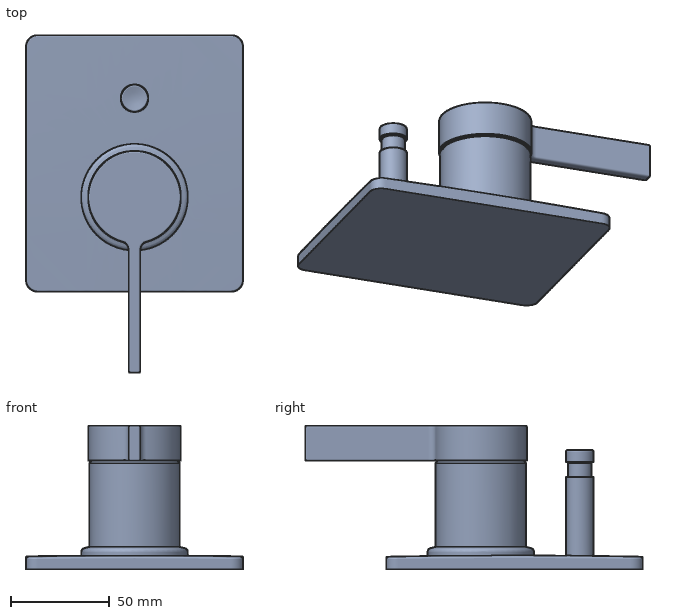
import cadquery as cq
import math

edge_break = 0.25

plate_width = 110.0
plate_length = 130.0
plate_corner_radius = 6.0
plate_top = 7.2
plate_dome_radius = 3078.0
plate_edge_fillet = 0.9
plate_back_y = 82.0
plate_center_y = plate_back_y - plate_length / 2

sleeve_radius = 46.0 / 2
sleeve_chamfer = 1.0

ring_radius = 27.0
ring_top = 11.5
ring_slope = math.radians(15)
ring_fillet = 2.0

handle_top = 72.8
handle_height = 18.0
handle_bottom = handle_top - handle_height
handle_fillet = 1.0
cap_radius = 47.0 / 2
lever_width = 6.0
lever_reach = 89.0
lever_blend_radius = 4.0

diverter_y = 50.1
post_radius = 7.0
post_top = 46.9
stem_radius = 6.0
stem_chamfer = 0.5
knob_bottom = 54.2
knob_top = 60.5
knob_fillet = 1.0
knob_dish_depth = 0.9


def cylinder(radius, bottom, top, y=0):
    return cq.Workplane("XY", origin=(0, y, bottom)).circle(radius).extrude(top - bottom)


def make_plate():
    dome_center = (0, plate_center_y, plate_top - plate_dome_radius)
    dome = cq.Workplane("XY", origin=dome_center).sphere(plate_dome_radius)
    block = (
        cq.Workplane("XY", origin=(0, plate_center_y, 0))
        .rect(plate_width, plate_length)
        .extrude(plate_top)
        .edges("|Z")
        .fillet(plate_corner_radius)
    )
    return block.intersect(dome).faces(">Z").edges().fillet(plate_edge_fillet)


def make_ring(plate):
    rim_height = ring_top - (ring_radius - sleeve_radius) * math.tan(ring_slope)
    ring = (
        cq.Workplane("XZ")
        .moveTo(sleeve_radius, 0)
        .lineTo(ring_radius, 0)
        .lineTo(ring_radius, rim_height)
        .lineTo(sleeve_radius, ring_top)
        .close()
        .revolve(360, (0, 0, 0), (0, 1, 0))
    )
    rim = cq.selectors.NearestToPointSelector((0, 0, rim_height))
    ring = ring.edges("%CIRCLE").edges(rim).fillet(ring_fillet)
    return ring.cut(plate)


def make_sleeve(plate):
    sleeve = cylinder(sleeve_radius, 0, handle_bottom).faces(">Z").chamfer(sleeve_chamfer)
    return sleeve.cut(plate)


def make_lever():
    half_width = lever_width / 2
    blend_x = half_width + lever_blend_radius
    blend_y = -math.sqrt((cap_radius + lever_blend_radius) ** 2 - blend_x**2)
    cap_share = cap_radius / (cap_radius + lever_blend_radius)
    root_x = blend_x * cap_share
    root_y = blend_y * cap_share
    blend_angle = (math.atan2(root_y - blend_y, root_x - blend_x) + math.pi) / 2
    mid_x = blend_x + lever_blend_radius * math.cos(blend_angle)
    mid_y = blend_y + lever_blend_radius * math.sin(blend_angle)
    lever = (
        cq.Workplane("XY", origin=(0, 0, handle_bottom))
        .moveTo(root_x, root_y)
        .threePointArc((mid_x, mid_y), (half_width, blend_y))
        .lineTo(half_width, -lever_reach)
        .lineTo(-half_width, -lever_reach)
        .lineTo(-half_width, blend_y)
        .threePointArc((-mid_x, mid_y), (-root_x, root_y))
        .close()
        .extrude(handle_height)
    )
    lever = lever.edges("|Z and <Y").fillet(handle_fillet)
    return lever.faces("<Z").edges("not >Y").fillet(handle_fillet)


def make_handle():
    cap = cylinder(cap_radius, handle_bottom, handle_top).faces("<Z").chamfer(edge_break)
    handle = cap.union(make_lever())
    return handle.faces(">Z").edges().fillet(handle_fillet)


def make_post(plate):
    post = cylinder(post_radius, 0, post_top, diverter_y).faces(">Z").chamfer(edge_break)
    return post.cut(plate)


def make_stem():
    stem = cylinder(stem_radius, post_top, knob_bottom, diverter_y)
    return stem.faces(">Z").chamfer(stem_chamfer)


def make_knob():
    knob = cylinder(post_radius, knob_bottom, knob_top, diverter_y)
    knob = knob.faces(">Z").edges().fillet(knob_fillet)
    knob = knob.faces("<Z").chamfer(edge_break)
    dish_rim = post_radius - knob_fillet
    dish_radius = (dish_rim**2 + knob_dish_depth**2) / (2 * knob_dish_depth)
    dish_center = (0, diverter_y, knob_top - knob_dish_depth + dish_radius)
    return knob.cut(cq.Workplane("XY", origin=dish_center).sphere(dish_radius))


plate = make_plate()
ring = make_ring(plate)
sleeve = make_sleeve(plate)
handle = make_handle()
post = make_post(plate)
stem = make_stem()
knob = make_knob()

result = cq.Compound.makeCompound(
    [plate.val(), ring.val(), sleeve.val(), handle.val(), post.val(), stem.val(), knob.val()]
)